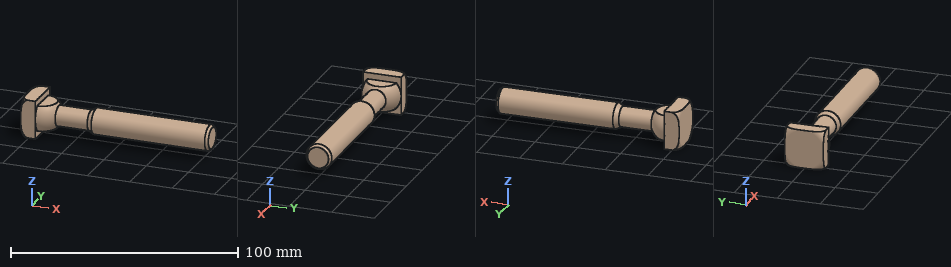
import cadquery as cq
import math

total_length = 87.0
head_width = 18.0
head_thickness = 7.0
neck_diameter = 9.5
shank_diameter = 12.0
taper_start = 29.75
taper_end = 32.1
tip_length = 1.3
tip_diameter = 9.8

head_radius = head_width / 2
neck_radius = neck_diameter / 2
shank_radius = shank_diameter / 2


def square_head():
    """Square plate whose front corners are rounded by turning."""
    plate = cq.Workplane("YZ").rect(head_width, head_width).extrude(head_thickness)
    corner_rise = head_width / math.sqrt(2) - head_radius
    outer_radius = head_radius + corner_rise
    arc_offset = corner_rise * math.sqrt(0.5)
    arc_middle = (corner_rise - arc_offset, head_radius + arc_offset)
    turning = (
        cq.Workplane("XY")
        .lineTo(0, head_radius)
        .threePointArc(arc_middle, (corner_rise, outer_radius))
        .lineTo(head_thickness, outer_radius)
        .lineTo(head_thickness, 0)
        .close()
        .revolve(360, (0, 0, 0), (1, 0, 0))
    )
    return plate.intersect(turning)


def rounded_collar():
    """Half ball behind the head, flattened to the shank diameter along Z."""
    ball = cq.Workplane("XY").sphere(head_radius).translate((head_thickness, 0, 0))
    slab = (
        cq.Workplane("XY")
        .box(head_width, head_width, shank_diameter, centered=(False, True, True))
        .translate((head_thickness, 0, 0))
    )
    return ball.intersect(slab)


def neck_and_shank():
    """Turned neck, taper and shank with a chamfered tip."""
    return (
        cq.Workplane("XY")
        .polyline([
            (head_thickness, 0),
            (head_thickness, neck_radius),
            (taper_start, neck_radius),
            (taper_end, shank_radius),
            (total_length - tip_length, shank_radius),
            (total_length, tip_diameter / 2),
            (total_length, 0),
        ])
        .close()
        .revolve(360, (0, 0, 0), (1, 0, 0))
    )


result = square_head().union(rounded_collar()).union(neck_and_shank())